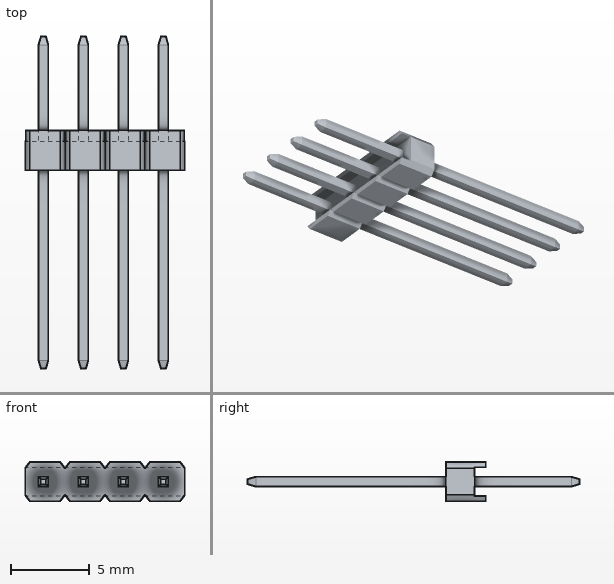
import cadquery as cq

pin_count = 4
pitch = 2.54

body_length = pin_count * pitch
body_depth = 2.54
body_height = 2.5
chamfer_width = 0.31
chamfer_height = 0.4

flange_thickness = 0.34
slot_depth = 0.7

pin_length = 21.1
pin_width = 0.64
pin_rear_length = 5.96
pin_offset_x = -0.1
pin_offset_z = -0.005
tip_length = 0.54
tip_width = pin_width / 2

body_rear = body_depth / 2
pin_rear = body_rear + pin_rear_length
pin_front = pin_rear - pin_length
cell_centers = [(i - (pin_count - 1) / 2) * pitch for i in range(pin_count)]


def housing_cell(center_x):
    """One octagonal cell of the housing, running along Y."""
    half_width = pitch / 2
    half_height = body_height / 2
    flat_x = half_width - chamfer_width
    flat_z = half_height - chamfer_height
    outline = [
        (-flat_x, -half_height),
        (flat_x, -half_height),
        (half_width, -flat_z),
        (half_width, flat_z),
        (flat_x, half_height),
        (-flat_x, half_height),
        (-half_width, flat_z),
        (-half_width, -flat_z),
    ]
    return (
        cq.Workplane("XZ", origin=(center_x, body_rear, 0))
        .polyline(outline)
        .close()
        .extrude(body_depth)
    )


def rear_slot():
    """Slot along the whole rear face, leaving a lip above and below it."""
    slot_height = body_height - 2 * flange_thickness
    return cq.Workplane("XY").box(body_length, slot_depth, slot_height).translate(
        (0, body_rear - slot_depth / 2, 0)
    )


def pin_tip(center_x, base_y, direction):
    """Tapered pin end; direction is +1 towards +Y and -1 towards -Y."""
    plane = cq.Plane(
        origin=(center_x, base_y, pin_offset_z),
        xDir=(1, 0, 0),
        normal=(0, direction, 0),
    )
    return (
        cq.Workplane(plane)
        .rect(pin_width, pin_width)
        .workplane(offset=tip_length)
        .rect(tip_width, tip_width)
        .loft()
    )


def pin(center_x):
    """Square pin along Y with a tapered tip at both ends."""
    shaft_rear = pin_rear - tip_length
    shaft_front = pin_front + tip_length
    shaft = (
        cq.Workplane("XZ", origin=(center_x, shaft_rear, pin_offset_z))
        .rect(pin_width, pin_width)
        .extrude(shaft_rear - shaft_front)
    )
    rear_tip = pin_tip(center_x, shaft_rear, 1)
    front_tip = pin_tip(center_x, shaft_front, -1)
    return shaft.union(rear_tip).union(front_tip)


housing = housing_cell(cell_centers[0])
for cell_x in cell_centers[1:]:
    housing = housing.union(housing_cell(cell_x))
housing = housing.cut(rear_slot())

result = housing
for cell_x in cell_centers:
    result = result.union(pin(cell_x + pin_offset_x))